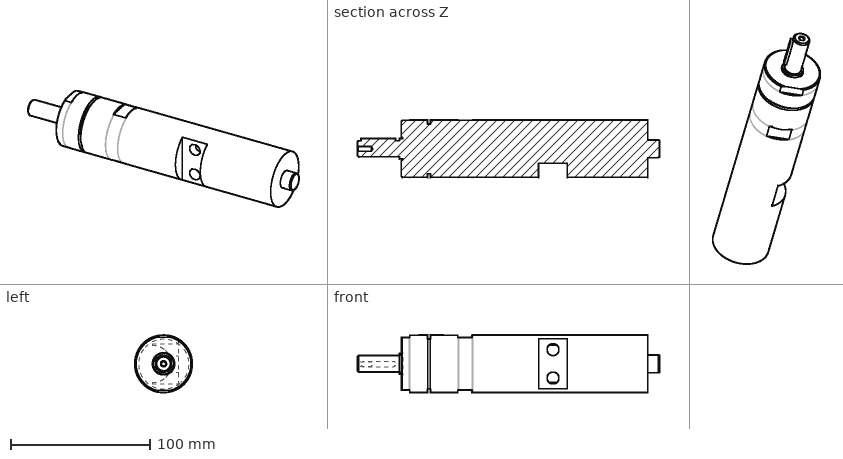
import cadquery as cq

TOTAL_LENGTH = 217.5
BODY_START = 31.6
BODY_END = 209.0
BODY_DIAMETER = 41.5
BODY_RADIUS = BODY_DIAMETER / 2
NOSE_DIAMETER = 39.5
NOSE_CHAMFER_LENGTH = 0.7

SHAFT_DIAMETER = 12.0
SHAFT_CHAMFER = 1.0
COLLAR_START = 30.3
COLLAR_DIAMETER = 14.95
COLLAR_RECESS_DIAMETER = 16.0
COLLAR_RECESS_DEPTH = 1.0
CENTRE_HOLE_DIAMETER = 3.24
CENTRE_HOLE_DEPTH = 10.0
CENTRE_HOLE_TIP_LENGTH = 1.0
COUNTERSINK_DIAMETER = 4.3
COUNTERSINK_DEPTH = (COUNTERSINK_DIAMETER - CENTRE_HOLE_DIAMETER) / 2

KEY_START = 2.5
KEY_LENGTH = 25.0
KEY_WIDTH = 4.0
KEY_PROJECTION = 1.5
KEY_TOP = SHAFT_DIAMETER / 2 + KEY_PROJECTION

STUB_DIAMETER = 13.0
STUB_CHAMFER_LENGTH = 1.0
STUB_CHAMFER_DEPTH = 0.5

GROOVE_START = 50.5
GROOVE_WIDTH = 2.0
GROOVE_DIAMETER = 36.0
FLATS_ACROSS = 38.0
NOSE_FLATS_LENGTH = 6.0
REAR_FLATS_START = 72.4
REAR_FLATS_LENGTH = 10.0

RELIEF_DIAMETER = 41.4
RELIEF_TAPER_LENGTH = 0.5

POCKET_START = 130.5
POCKET_LENGTH = 20.5
POCKET_FLOOR_Y = -10.5
PORT_DIAMETER = 8.57
PORT_SPACING = 20.4
PORT_END_Y = 8.0
PORT_SADDLE_RADIUS = 13.4


def x_cylinder(start, length, diameter):
    """Cylinder along the X axis."""
    return cq.Workplane("YZ").workplane(offset=start).circle(diameter / 2).extrude(length)


def turned_blank():
    """Shaft, collar, grooved body and stub as one turned profile."""
    shaft_radius = SHAFT_DIAMETER / 2
    stub_radius = STUB_DIAMETER / 2
    recess_floor = BODY_START + COLLAR_RECESS_DEPTH
    relief_radius = RELIEF_DIAMETER / 2
    nose_flats_end = BODY_START + NOSE_FLATS_LENGTH
    rear_flats_end = REAR_FLATS_START + REAR_FLATS_LENGTH
    groove_end = GROOVE_START + GROOVE_WIDTH
    profile = [
        (0, 0),
        (0, shaft_radius - SHAFT_CHAMFER),
        (SHAFT_CHAMFER, shaft_radius),
        (COLLAR_START, shaft_radius),
        (COLLAR_START, COLLAR_DIAMETER / 2),
        (recess_floor, COLLAR_DIAMETER / 2),
        (recess_floor, COLLAR_RECESS_DIAMETER / 2),
        (BODY_START, COLLAR_RECESS_DIAMETER / 2),
        (BODY_START, NOSE_DIAMETER / 2),
        (BODY_START + NOSE_CHAMFER_LENGTH, relief_radius),
        (nose_flats_end - RELIEF_TAPER_LENGTH, relief_radius),
        (nose_flats_end, BODY_RADIUS),
        (GROOVE_START, BODY_RADIUS),
        (GROOVE_START, GROOVE_DIAMETER / 2),
        (groove_end, GROOVE_DIAMETER / 2),
        (groove_end, BODY_RADIUS),
        (REAR_FLATS_START, BODY_RADIUS),
        (REAR_FLATS_START + RELIEF_TAPER_LENGTH, relief_radius),
        (rear_flats_end, relief_radius),
        (rear_flats_end + RELIEF_TAPER_LENGTH, BODY_RADIUS),
        (BODY_END, BODY_RADIUS),
        (BODY_END, stub_radius),
        (TOTAL_LENGTH - STUB_CHAMFER_LENGTH, stub_radius),
        (TOTAL_LENGTH, stub_radius - STUB_CHAMFER_DEPTH),
        (TOTAL_LENGTH, 0),
    ]
    return cq.Workplane("XY").polyline(profile).close().revolve(360, (0, 0, 0), (1, 0, 0))


def centre_hole():
    """Countersunk blind hole with a drill-point bottom in the shaft tip."""
    hole_radius = CENTRE_HOLE_DIAMETER / 2
    profile = [
        (0, 0),
        (0, COUNTERSINK_DIAMETER / 2),
        (COUNTERSINK_DEPTH, hole_radius),
        (CENTRE_HOLE_DEPTH, hole_radius),
        (CENTRE_HOLE_DEPTH + CENTRE_HOLE_TIP_LENGTH, 0),
    ]
    return cq.Workplane("XY").polyline(profile).close().revolve(360, (0, 0, 0), (1, 0, 0))


def feather_key():
    """Key reaching from the shaft axis to its raised top face."""
    return (
        cq.Workplane("XZ")
        .center(KEY_START + KEY_LENGTH / 2, 0)
        .slot2D(KEY_LENGTH, KEY_WIDTH)
        .extrude(-KEY_TOP)
    )


def wrench_flats(start, length):
    """Material outside a pair of flats on the +Z and -Z sides."""
    inside = (
        cq.Workplane("XY")
        .box(length, BODY_DIAMETER, FLATS_ACROSS, centered=(False, True, True))
        .translate((start, 0, 0))
    )
    return x_cylinder(start, length, BODY_DIAMETER).cut(inside)


def port_pocket():
    """Flat-floored slot across the -Y side of the body."""
    depth = BODY_RADIUS + POCKET_FLOOR_Y
    return (
        cq.Workplane("XY")
        .box(POCKET_LENGTH, depth, BODY_DIAMETER, centered=(False, False, True))
        .translate((POCKET_START, -BODY_RADIUS, 0))
    )


def ports():
    """Two blind ports ending on a rounded saddle that runs along X."""
    holes = (
        cq.Workplane("XZ", origin=(POCKET_START + POCKET_LENGTH / 2, POCKET_FLOOR_Y, 0))
        .pushPoints([(0, PORT_SPACING / 2), (0, -PORT_SPACING / 2)])
        .circle(PORT_DIAMETER / 2)
        .extrude(POCKET_FLOOR_Y - PORT_END_Y)
    )
    saddle = x_cylinder(POCKET_START, POCKET_LENGTH, 2 * PORT_SADDLE_RADIUS)
    return holes.cut(saddle.translate((0, PORT_END_Y, 0)))


result = (
    turned_blank()
    .union(feather_key())
    .cut(centre_hole())
    .cut(wrench_flats(BODY_START, NOSE_FLATS_LENGTH))
    .cut(wrench_flats(REAR_FLATS_START, REAR_FLATS_LENGTH))
    .cut(port_pocket())
    .cut(ports())
)